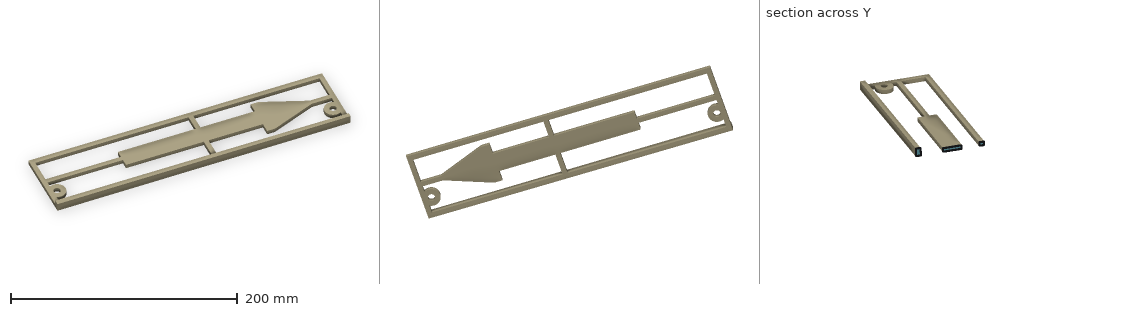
import cadquery as cq

length = 282.0
width_front = 64.99
side_taper = 1.0
width_back = width_front - side_taper
plate_thickness = 4.0
side_bar_width = 5.0
cross_bar_width = 4.5
cross_bar_y = 154.0

lip_height = 8.0
lip_inner_x = width_front - side_bar_width

arrow_x = 30.0
stem_width = 4.5
shaft_width = 18.0
shaft_start = 77.0
head_width = 37
head_base = 208.5
head_shoulder = 216.0
head_end = 258.25

eye_x = 45.0
eye_front_y = 8.25
eye_spacing = 265.0
eye_centers = [(eye_x, eye_front_y), (eye_x, eye_front_y + eye_spacing)]
eye_hole_diameter = 6.4
eye_wall = 5.0
eye_radius = eye_hole_diameter / 2 + eye_wall


def side_strip(inner_front, inner_back, height):
    """Upright strip along the tapering +X side, given the X of its inner edge at both ends."""
    outline = [
        (inner_front, 0),
        (width_front, 0),
        (width_back, length),
        (inner_back, length),
    ]
    return cq.Workplane("XY").polyline(outline).close().extrude(height)


def bar(x_start, x_end, y_start, y_end):
    """Flat bar with the thickness of the plate."""
    size = (x_end - x_start, y_end - y_start, plate_thickness)
    return cq.Workplane("XY").box(*size, centered=False).translate((x_start, y_start, 0))


def make_frame():
    right_bar = side_strip(width_front - side_bar_width, width_back - side_bar_width, plate_thickness)
    lip = side_strip(lip_inner_x, lip_inner_x, lip_height)
    frame = right_bar.union(lip).union(bar(0, side_bar_width, 0, length))
    cross_bar_reach = width_back - side_bar_width / 2
    for y_center in (cross_bar_width / 2, cross_bar_y, length - cross_bar_width / 2):
        y_start = y_center - cross_bar_width / 2
        frame = frame.union(bar(0, cross_bar_reach, y_start, y_start + cross_bar_width))
    return frame


def make_arrow():
    half_stem = stem_width / 2
    half_shaft = shaft_width / 2
    half_head = head_width / 2
    right_half = [
        (half_stem, 0),
        (half_stem, shaft_start),
        (half_shaft, shaft_start),
        (half_shaft, head_base),
        (half_head, head_base),
        (half_head, head_shoulder),
        (half_stem, head_end),
        (half_stem, length),
    ]
    left_half = [(-x, y) for x, y in reversed(right_half)]
    outline = cq.Workplane("XY").polyline(right_half + left_half).close()
    return outline.extrude(plate_thickness).translate((arrow_x, 0, 0))


def eye_cylinders(radius):
    """One upright cylinder at each eye, as thick as the plate."""
    return cq.Workplane("XY").pushPoints(eye_centers).circle(radius).extrude(plate_thickness)


result = (
    make_frame()
    .union(make_arrow())
    .union(eye_cylinders(eye_radius))
    .cut(eye_cylinders(eye_hole_diameter / 2))
)